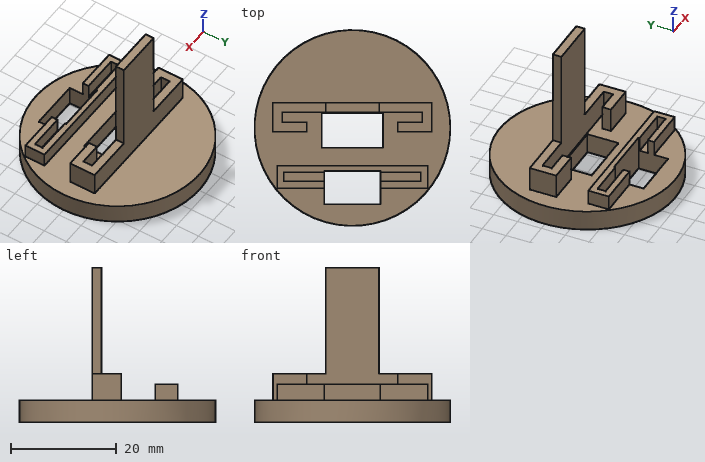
import cadquery as cq

base_diameter = 37.0
base_thickness = 4.22

rear_length = 30.0
rear_wall = 1.8
rear_gap = 1.95
rear_height = 5.0
rear_back_y = 4.8
hook_length = 6.4
tab_width = 10.1
tab_height = 25.0

front_slot_length = 25.85
front_slot_width = 1.7
front_wall = 1.3
front_height = 3.0
front_back_y = -7.1

rear_window_length = 11.5
rear_window_width = 6.5
rear_window_clearance = 0.2
front_window_length = 10.55
front_window_width = 6.2
front_window_bite = 0.25

rear_depth = 2 * rear_wall + rear_gap
front_length = front_slot_length + 2 * front_wall
front_depth = front_slot_width + 2 * front_wall
rear_window_back_y = rear_back_y - rear_wall - rear_window_clearance
front_window_back_y = front_back_y - front_wall + front_window_bite


def block(length, width, height, back_y, bottom_z):
    """Box centred on X = 0 that extends from back_y toward -Y."""
    return (
        cq.Workplane("XY", origin=(0, back_y - width / 2, bottom_z))
        .box(length, width, height, centered=(True, True, False))
    )


def make_base():
    return cq.Workplane("XY").circle(base_diameter / 2).extrude(base_thickness)


def make_rear_bracket():
    inner_length = rear_length - 2 * rear_wall
    mouth_length = rear_length - 2 * hook_length
    inner_back_y = rear_back_y - rear_wall
    body = block(rear_length, rear_depth, rear_height, rear_back_y, base_thickness)
    gap = block(inner_length, rear_gap, rear_height, inner_back_y, base_thickness)
    mouth = block(mouth_length, rear_depth - rear_wall, rear_height, inner_back_y, base_thickness)
    tab = block(tab_width, rear_wall, tab_height, rear_back_y, base_thickness)
    return body.cut(gap).cut(mouth).union(tab)


def make_front_bracket():
    body = block(front_length, front_depth, front_height, front_back_y, base_thickness)
    slot_back_y = front_back_y - front_wall
    slot = block(front_slot_length, front_slot_width, front_height, slot_back_y, base_thickness)
    return body.cut(slot)


def make_rear_window():
    return block(rear_window_length, rear_window_width, base_thickness, rear_window_back_y, 0)


def make_front_window():
    cut_height = base_thickness + front_height
    return block(front_window_length, front_window_width, cut_height, front_window_back_y, 0)


result = (
    make_base()
    .union(make_rear_bracket())
    .union(make_front_bracket())
    .cut(make_rear_window())
    .cut(make_front_window())
)